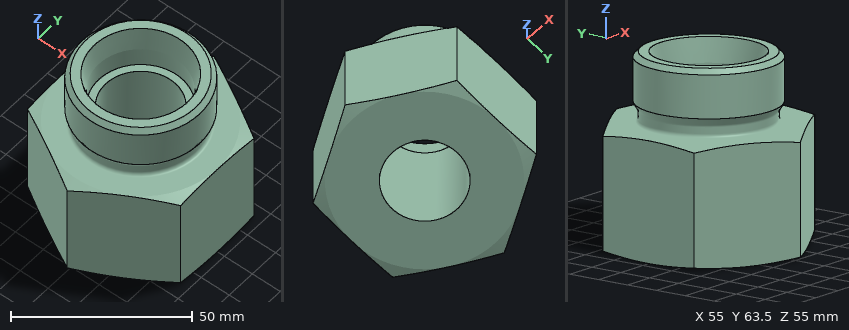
import cadquery as cq
import math

hex_corner_diameter = 63.5
hex_across_flats = hex_corner_diameter * math.cos(math.radians(30))
hex_height = 35.0
hex_chamfer_angle = 15.0
chamfer_circle_radius = hex_across_flats / 2
chamfer_overrun = 0.65

total_height = 55.0
spigot_radius = 42.0 / 2
spigot_chamfer = 1.5
spigot_bottom_z = 40.95
neck_radius = 39.0 / 2
neck_fillet = 1.2
taper_angle = 31.0

through_diameter = 25.0
socket_radius = 30.0 / 2
socket_depth = 13.5
mouth_radius = 33.0 / 2
cone_half_angle = 12.0


def revolve_profile(profile):
    """Revolve a closed (radius, height) profile around the Z axis."""
    return profile.close().revolve(360, (0, 0, 0), (0, 1, 0))


def make_hex_body():
    """Hexagon with corners on Y and conical chamfers at both ends."""
    prism = (
        cq.Workplane("XY")
        .polygon(6, hex_corner_diameter)
        .extrude(hex_height)
        .rotate((0, 0, 0), (0, 0, 1), 30)
    )
    envelope_radius = hex_corner_diameter / 2 + chamfer_overrun
    chamfer_drop = (envelope_radius - chamfer_circle_radius) * math.tan(math.radians(hex_chamfer_angle))
    envelope = revolve_profile(
        cq.Workplane("XZ")
        .moveTo(0, 0)
        .lineTo(chamfer_circle_radius, 0)
        .lineTo(envelope_radius, chamfer_drop)
        .lineTo(envelope_radius, hex_height - chamfer_drop)
        .lineTo(chamfer_circle_radius, hex_height)
        .lineTo(0, hex_height)
    )
    return prism.intersect(envelope)


def make_spigot():
    """Chamfered cylinder, tapering to a neck with fillets at both ends."""
    taper = math.radians(taper_angle)
    taper_end_radius = neck_radius + neck_fillet * (1 - math.cos(taper))
    taper_end_z = spigot_bottom_z - (spigot_radius - taper_end_radius) / math.tan(taper)
    neck_top_z = taper_end_z - neck_fillet * math.sin(taper)
    upper_arc_middle = (
        neck_radius + neck_fillet * (1 - math.cos(taper / 2)),
        neck_top_z + neck_fillet * math.sin(taper / 2),
    )
    lower_arc_inset = neck_fillet * (1 - math.sqrt(0.5))
    lower_arc_middle = (neck_radius + lower_arc_inset, hex_height + lower_arc_inset)
    root_z = hex_height / 2
    return revolve_profile(
        cq.Workplane("XZ")
        .moveTo(0, root_z)
        .lineTo(neck_radius + neck_fillet, root_z)
        .lineTo(neck_radius + neck_fillet, hex_height)
        .threePointArc(lower_arc_middle, (neck_radius, hex_height + neck_fillet))
        .lineTo(neck_radius, neck_top_z)
        .threePointArc(upper_arc_middle, (taper_end_radius, taper_end_z))
        .lineTo(spigot_radius, spigot_bottom_z)
        .lineTo(spigot_radius, total_height - spigot_chamfer)
        .lineTo(spigot_radius - spigot_chamfer, total_height)
        .lineTo(0, total_height)
    )


def make_socket():
    """Volume removed by the conical mouth and the cylindrical socket."""
    cone_depth = (mouth_radius - socket_radius) / math.tan(math.radians(cone_half_angle))
    floor_z = total_height - socket_depth
    return revolve_profile(
        cq.Workplane("XZ")
        .moveTo(0, floor_z)
        .lineTo(socket_radius, floor_z)
        .lineTo(socket_radius, total_height - cone_depth)
        .lineTo(mouth_radius, total_height)
        .lineTo(0, total_height)
    )


through_bore = cq.Workplane("XY").circle(through_diameter / 2).extrude(total_height)

result = make_hex_body().union(make_spigot()).cut(make_socket()).cut(through_bore)